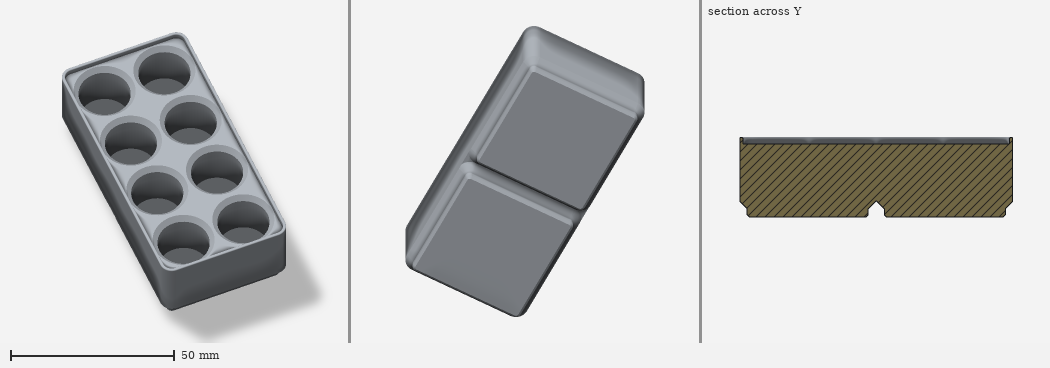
import cadquery as cq

GRID_PITCH = 42.0
GRID_COUNT = 2
GRID_CLEARANCE = 0.5
BODY_LENGTH = GRID_COUNT * GRID_PITCH - GRID_CLEARANCE
BODY_WIDTH = GRID_PITCH - GRID_CLEARANCE
TOTAL_HEIGHT = 24.43
GRID_CORNER_RADIUS = 4.0
BODY_CORNER_RADIUS = GRID_CORNER_RADIUS - GRID_CLEARANCE / 2

FOOT_HEIGHT = 5.0
FOOT_LOWER_CHAMFER = 0.8
FOOT_STRAIGHT_HEIGHT = 1.8
FOOT_UPPER_CHAMFER = FOOT_HEIGHT - FOOT_LOWER_CHAMFER - FOOT_STRAIGHT_HEIGHT
FLARE_ANGLE = 45

RIM_THICKNESS = 1.0
RIM_HEIGHT = 2.0
RIM_EDGE_RADIUS = 0.3
DECK_HEIGHT = TOTAL_HEIGHT - RIM_HEIGHT

POCKET_COLUMNS = 4
POCKET_ROWS = 2
POCKET_PITCH_X = 20.5
POCKET_PITCH_Y = 19.9
POCKET_DIAMETER = 16.0
POCKET_DEPTH = 15.0
POCKET_FLOOR_Z = DECK_HEIGHT - POCKET_DEPTH
LEAD_IN = 1.5
FULL_TURN = 360


def centred_offset(index, count, pitch):
    """Position of one item in an evenly spaced row centred on zero."""
    return (index - (count - 1) / 2) * pitch


def rounded_block(length, width, height, corner_radius, base_z):
    """Upright block with rounded vertical edges, centred on the Z axis."""
    return (
        cq.Workplane("XY")
        .workplane(offset=base_z)
        .rect(length, width)
        .extrude(height)
        .edges("|Z")
        .fillet(corner_radius)
    )


def make_foot():
    """One grid foot: chamfer, straight band, then a flare out to the full grid cell."""
    straight_side = GRID_PITCH - 2 * FOOT_UPPER_CHAMFER
    straight_radius = GRID_CORNER_RADIUS - FOOT_UPPER_CHAMFER
    lower = rounded_block(
        straight_side, straight_side, FOOT_LOWER_CHAMFER + FOOT_STRAIGHT_HEIGHT, straight_radius, 0
    )
    lower = lower.faces("<Z").chamfer(FOOT_LOWER_CHAMFER)
    cell_outline = cq.Sketch().rect(GRID_PITCH, GRID_PITCH).vertices().fillet(GRID_CORNER_RADIUS)
    flare = (
        cq.Workplane("XY")
        .workplane(offset=FOOT_HEIGHT)
        .placeSketch(cell_outline)
        .extrude(-FOOT_UPPER_CHAMFER, taper=FLARE_ANGLE)
    )
    return lower.union(flare)


def make_feet():
    """Row of feet along X, trimmed to the body outline."""
    row = cq.Workplane("XY")
    for index in range(GRID_COUNT):
        offset_x = centred_offset(index, GRID_COUNT, GRID_PITCH)
        row = row.union(make_foot().translate((offset_x, 0, 0)))
    envelope = rounded_block(BODY_LENGTH, BODY_WIDTH, FOOT_HEIGHT, BODY_CORNER_RADIUS, 0)
    return envelope.intersect(row)


def make_body():
    """Block above the feet, recessed to the deck inside a thin rim with rounded top edges."""
    block_height = TOTAL_HEIGHT - FOOT_HEIGHT
    block = rounded_block(BODY_LENGTH, BODY_WIDTH, block_height, BODY_CORNER_RADIUS, FOOT_HEIGHT)
    recess = rounded_block(
        BODY_LENGTH - 2 * RIM_THICKNESS,
        BODY_WIDTH - 2 * RIM_THICKNESS,
        RIM_HEIGHT,
        BODY_CORNER_RADIUS - RIM_THICKNESS,
        DECK_HEIGHT,
    )
    return block.cut(recess).faces(">Z").edges().fillet(RIM_EDGE_RADIUS)


def make_pocket():
    """Cutter for one blind pocket on the Z axis, with a 45 degree lead-in at the deck."""
    radius = POCKET_DIAMETER / 2
    half_profile = [
        (0, DECK_HEIGHT),
        (radius + LEAD_IN, DECK_HEIGHT),
        (radius, DECK_HEIGHT - LEAD_IN),
        (radius, POCKET_FLOOR_Z),
        (0, POCKET_FLOOR_Z),
    ]
    return cq.Workplane("XZ").polyline(half_profile).close().revolve(FULL_TURN, (0, 0, 0), (0, 1, 0))


def cut_pockets(body):
    """Cut the grid of pockets into the deck."""
    pocket = make_pocket()
    for column in range(POCKET_COLUMNS):
        for row in range(POCKET_ROWS):
            x = centred_offset(column, POCKET_COLUMNS, POCKET_PITCH_X)
            y = centred_offset(row, POCKET_ROWS, POCKET_PITCH_Y)
            body = body.cut(pocket.translate((x, y, 0)))
    return body


result = cut_pockets(make_feet().union(make_body()))